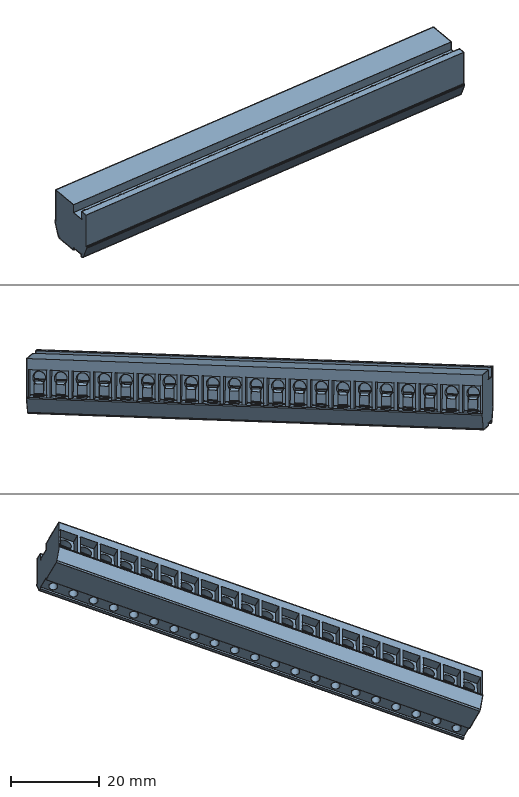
import cadquery as cq

length = 105.0
height = 12.8
pole_count = 21
pitch = length / pole_count
pole_centres = [(index + 0.5) * pitch - length / 2 for index in range(pole_count)]

body_half_width = 5.9
rim_half_width = 6.2
rim_top = 4.0
rim_bottom = 3.7
foot_half_width = 4.8
foot_height = 0.3
base_half_width = 4.5

groove_left = 1.0
groove_width = 3.2
groove_depth = 2.2
base_groove_width = 2.9
base_groove_depth = 0.6
screw_hole_diameter = 2.0
screw_hole_x = groove_left + groove_width / 2

pocket_width = 4.2
pocket_bottom = rim_top
pocket_top = 10.3
pocket_depth_top = 2.0
pocket_depth_bottom = 1.6

recess_radius = 1.5
recess_centre_z = 8.2
recess_depth = 1.6

clamp_width = 2.2
clamp_depth = pocket_depth_bottom
clamp_top = 7.7
clamp_bevel = 0.5
clamp_bevel_bottom = 6.8
undercut_top = 4.6

foot_slot_depth = 1.0
foot_slot_top = pocket_bottom + 0.3

tongue_reach = 0.4
tongue_thickness = 0.1

face_x = -body_half_width


def extrude_along_y(points, y_size, y_centre=0.0):
    """Extrude an XZ outline by y_size, centred on y_centre."""
    plane = cq.Workplane("XZ", origin=(0, y_centre, 0))
    return plane.polyline(points).close().extrude(y_size / 2, both=True)


def make_body():
    half_outline = [
        (base_half_width, 0),
        (foot_half_width, foot_height),
        (rim_half_width, rim_bottom),
        (rim_half_width, rim_top),
        (body_half_width, rim_top),
        (body_half_width, height),
    ]
    mirrored = [(-x, z) for x, z in reversed(half_outline)]
    return extrude_along_y(half_outline + mirrored, length)


def make_groove(width, bottom, top):
    groove = cq.Workplane("XY").box(width, length, top - bottom, centered=(False, True, False))
    return groove.translate((groove_left, 0, bottom))


def pocket_outline(extra_depth=0.0):
    """Pocket section, with its leaning back wall moved inward by extra_depth."""
    return [
        (face_x, pocket_bottom),
        (face_x + pocket_depth_bottom + extra_depth, pocket_bottom),
        (face_x + pocket_depth_top + extra_depth, pocket_top),
        (face_x, pocket_top),
    ]


def make_clamp(y_centre):
    front = face_x + clamp_depth
    back = face_x + pocket_depth_top + recess_depth
    outline = [
        (front, pocket_bottom),
        (front, clamp_bevel_bottom),
        (front + clamp_bevel, clamp_bevel_bottom + clamp_bevel),
        (front + clamp_bevel, clamp_top),
        (back, clamp_top),
        (back, pocket_bottom),
    ]
    return extrude_along_y(outline, clamp_width, y_centre)


def make_foot_slot(y_centre):
    """Low slot behind the back wall, with a sloped roof where it passes under the clamp."""
    front = face_x + clamp_depth
    back = front + foot_slot_depth
    slot_outline = [
        (front, pocket_bottom),
        (back, pocket_bottom),
        (back, foot_slot_top),
        (front, foot_slot_top),
    ]
    undercut_outline = [
        (front, pocket_bottom),
        (back, pocket_bottom),
        (back, foot_slot_top),
        (front, undercut_top),
    ]
    slot = extrude_along_y(slot_outline, pocket_width, y_centre)
    return slot.union(extrude_along_y(undercut_outline, clamp_width, y_centre))


def make_tongue(y_centre):
    front = face_x + clamp_depth - tongue_reach
    back = face_x + clamp_depth + foot_slot_depth
    top = pocket_bottom + tongue_thickness
    outline = [
        (front, pocket_bottom),
        (back, pocket_bottom),
        (back, top),
        (front, top),
    ]
    return extrude_along_y(outline, clamp_width, y_centre)


def make_wire_opening(y_centre):
    """Everything removed from the -X face at one pole."""
    pocket = extrude_along_y(pocket_outline(), pocket_width, y_centre)
    bore = (
        cq.Workplane("YZ", origin=(face_x, y_centre, recess_centre_z))
        .circle(recess_radius)
        .extrude(pocket_depth_top + recess_depth)
    )
    recess = bore.intersect(extrude_along_y(pocket_outline(recess_depth), pocket_width, y_centre))
    opening = pocket.union(recess).cut(make_clamp(y_centre))
    return opening.union(make_foot_slot(y_centre)).cut(make_tongue(y_centre))


result = make_body()
result = result.cut(make_groove(groove_width, height - groove_depth, height))
result = result.cut(make_groove(base_groove_width, 0, base_groove_depth))

screw_holes = (
    cq.Workplane("XY")
    .pushPoints([(screw_hole_x, y) for y in pole_centres])
    .circle(screw_hole_diameter / 2)
    .extrude(height)
)
result = result.cut(screw_holes)

for pole_y in pole_centres:
    result = result.cut(make_wire_opening(pole_y))